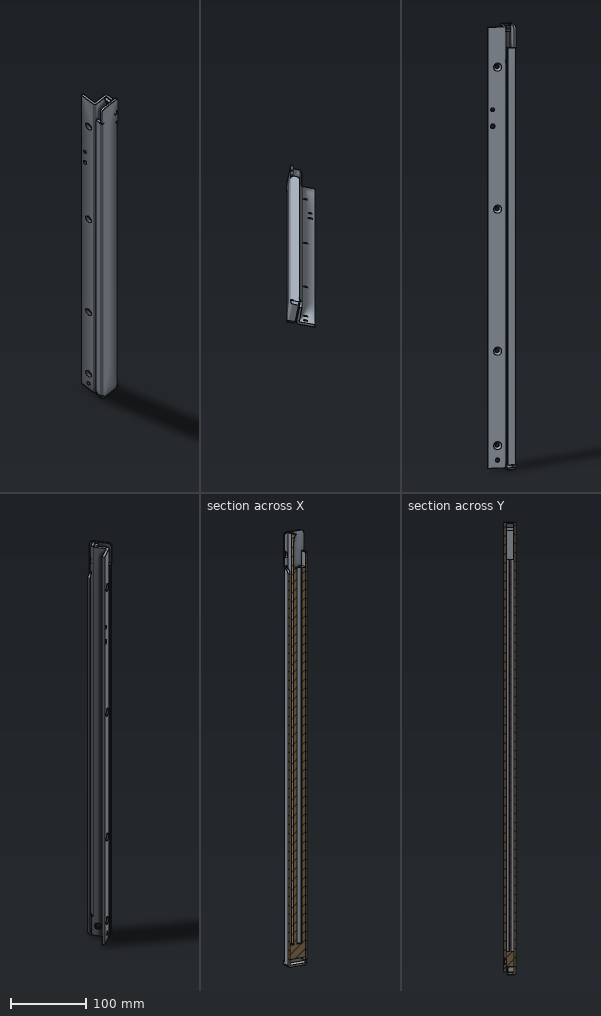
import cadquery as cq

LENGTH = 600.0
SHEET = 3.5
TOTAL_WIDTH = 38.5
TOTAL_DEPTH = 30.5

CABINET_BOTTOM = 3.5
WEB_X = 21.5
LEG_TOP_Y = 25.0
LEG_END_X = 35.0
LEG_BEVEL = 3.5
LEG_START_Z = 32.5
WEB_EDGE_Y = 23.5

STOP_BOTTOM = 589.0
STOP_STEP = 1.0
STOP_SLOPE_BOTTOM = 593.0
STOP_TOP = 598.0
STOP_DEPTH = 4.0

SCREW_X = 13.0
SCREW_HEIGHTS = (546.0, 354.0, 162.0, 34.0)
SCREW_DIAMETER = 5.0
SCREW_HEAD_DIAMETER = 11.0
PIN_HOLES = ((6.5, 488.5, 5.0), (6.5, 466.0, 6.0), (13.0, 14.5, 5.5))
RIVET_Y = 15.0
RIVET_Z = 18.0
RIVET_DIAMETER = 6.0
RIVET_HEAD_DIAMETER = 9.0
RIVET_HEAD_DEPTH = 2.0

PLATE = 3.0
LIP_EDGE_X = 27.0
BEND_BOTTOM = 7.0
FRONT_LIP_TOP = 571.0
BACK_LIP_TOP = 551.0
BACK_LIP_CORNER = 6.0
PLATE_CORNER = 5.0
TAB_CHAMFER = 3.5
SLIT_HEIGHT = 3.0
NOTCH_Y = 29.0
NOTCH_BOTTOM = 572.5
NOTCH_HEIGHT = 2.5
GROOVE_Z = 569.5
GROOVE_RADIUS = 4.0
GROOVE_DEPTH = 2.5

BAR_BOTTOM = 11.0
BAR_WEB = 2.5
BAR_FLANGE = 5.5
BAR_HEAD_TOP = 31.0

WEB_INNER_X = WEB_X + SHEET
LEG_UNDER_Y = LEG_TOP_Y - SHEET
PLATE_X = TOTAL_WIDTH - PLATE
BEND_X = TOTAL_WIDTH - SHEET
BACK_LIP_Y = TOTAL_DEPTH - SHEET
BAR_TOP = BACK_LIP_TOP


def block(x0, x1, y0, y1, z0, z1):
    """A box between two opposite corners."""
    return cq.Workplane("XY").box(x1 - x0, y1 - y0, z1 - z0, centered=False).translate((x0, y0, z0))


def hole_along_y(x, z, diameter):
    """A cutter through the flange, starting at its outer face."""
    return cq.Workplane("XZ", origin=(x, 0, z)).circle(diameter / 2).extrude(-SHEET)


def countersink(x, z):
    """A cone that narrows from the screw head to the screw hole across the flange."""
    head_radius = SCREW_HEAD_DIAMETER / 2
    hole_radius = SCREW_DIAMETER / 2
    cone = cq.Solid.makeCone(head_radius, hole_radius, SHEET, cq.Vector(x, 0, z), cq.Vector(0, 1, 0))
    return cq.Workplane(cone)


def hole_along_x(diameter, depth):
    """A cutter for the rivet hole, starting at the outer face of the web."""
    return cq.Workplane("YZ", origin=(WEB_X, RIVET_Y, RIVET_Z)).circle(diameter / 2).extrude(depth)


def extrude_sheet(web_end, bottom_z, top_z):
    """Flange, bend and web of the folded sheet; `web_end` lists the corners that finish the web."""
    return (
        cq.Workplane("XY", origin=(0, 0, bottom_z))
        .lineTo(WEB_X, 0)
        .radiusArc((WEB_INNER_X, SHEET), -SHEET)
        .polyline(web_end, includeCurrent=True)
        .lineTo(WEB_X, SHEET)
        .lineTo(0, SHEET)
        .close()
        .extrude(top_z - bottom_z)
    )


def make_sheet():
    """The folded sheet: a plain web near the lower end, a bevel and a leg above it."""
    plain_end = [(WEB_INNER_X, WEB_EDGE_Y), (WEB_X, WEB_EDGE_Y)]
    leg_end = [
        (WEB_INNER_X, LEG_UNDER_Y),
        (LEG_END_X, LEG_UNDER_Y),
        (LEG_END_X, LEG_TOP_Y),
        (WEB_X + LEG_BEVEL, LEG_TOP_Y),
        (WEB_X, LEG_TOP_Y - LEG_BEVEL),
    ]
    lower = extrude_sheet(plain_end, CABINET_BOTTOM, LEG_START_Z)
    upper = extrude_sheet(leg_end, LEG_START_Z, LENGTH)
    return lower.union(upper)


def make_leg_stop():
    """A stepped stop under the leg, sloping out towards the upper end of the rail."""
    step_y = LEG_UNDER_Y - STOP_STEP
    nose_y = LEG_UNDER_Y - STOP_DEPTH
    return (
        cq.Workplane("YZ", origin=(WEB_INNER_X, 0, 0))
        .moveTo(LEG_UNDER_Y, STOP_BOTTOM)
        .lineTo(step_y, STOP_BOTTOM)
        .lineTo(step_y, STOP_SLOPE_BOTTOM)
        .lineTo(nose_y, STOP_TOP)
        .lineTo(LEG_UNDER_Y, STOP_TOP)
        .close()
        .extrude(LEG_END_X - WEB_INNER_X)
    )


def make_cabinet_rail():
    """The folded sheet with its stop and holes."""
    rail = make_sheet().union(make_leg_stop())
    for z in SCREW_HEIGHTS:
        rail = rail.cut(countersink(SCREW_X, z))
    for x, z, diameter in PIN_HOLES:
        rail = rail.cut(hole_along_y(x, z, diameter))
    rail = rail.cut(hole_along_x(RIVET_DIAMETER, SHEET))
    return rail.cut(hole_along_x(RIVET_HEAD_DIAMETER, RIVET_HEAD_DEPTH))


def make_plate_and_tab():
    """The upright plate folded over into a tab at its lower end, with its corners trimmed."""
    folded_strip = (
        cq.Workplane("XZ")
        .moveTo(LIP_EDGE_X, 0)
        .lineTo(BEND_X, 0)
        .radiusArc((TOTAL_WIDTH, SHEET), -SHEET)
        .lineTo(TOTAL_WIDTH, LENGTH)
        .lineTo(PLATE_X, LENGTH)
        .lineTo(PLATE_X, SHEET)
        .lineTo(LIP_EDGE_X, SHEET)
        .close()
        .extrude(-TOTAL_DEPTH)
    )
    outline = block(LIP_EDGE_X, TOTAL_WIDTH, 0, TOTAL_DEPTH, 0, LENGTH)
    outline = outline.edges("|X and <Z").chamfer(TAB_CHAMFER)
    outline = outline.edges("|X and >Z").fillet(PLATE_CORNER)
    return folded_strip.intersect(outline)


def make_lip(edge_y, inward, top_z):
    """A lip bent off the plate; `inward` is the Y direction from its outer face into the rail."""
    return (
        cq.Workplane("XY", origin=(0, edge_y, BEND_BOTTOM))
        .moveTo(LIP_EDGE_X, 0)
        .lineTo(BEND_X, 0)
        .radiusArc((TOTAL_WIDTH, inward * SHEET), -inward * SHEET)
        .lineTo(LIP_EDGE_X, inward * SHEET)
        .close()
        .extrude(top_z - BEND_BOTTOM)
    )


def make_drawer_rail():
    """Folded plate with a bent lip along each side; the back lip reaches down to the tab."""
    rail = make_plate_and_tab()
    front_strip = block(PLATE_X, TOTAL_WIDTH, 0, SHEET, BEND_BOTTOM, FRONT_LIP_TOP)
    back_strip = block(PLATE_X, TOTAL_WIDTH, BACK_LIP_Y, TOTAL_DEPTH, BEND_BOTTOM, BACK_LIP_TOP)
    rail = rail.cut(front_strip).cut(back_strip)

    front_lip = make_lip(0, 1, FRONT_LIP_TOP)
    back_lip = make_lip(TOTAL_DEPTH, -1, BACK_LIP_TOP)
    back_lip = back_lip.edges("|Y and >Z and <X").fillet(BACK_LIP_CORNER)
    back_lip_foot = block(LIP_EDGE_X, PLATE_X, BACK_LIP_Y, TOTAL_DEPTH, SHEET, BEND_BOTTOM)
    rail = rail.union(front_lip).union(back_lip).union(back_lip_foot)

    slit = block(PLATE_X, TOTAL_WIDTH, BACK_LIP_Y, TOTAL_DEPTH, BACK_LIP_TOP, BACK_LIP_TOP + SLIT_HEIGHT)
    notch = block(PLATE_X, TOTAL_WIDTH, NOTCH_Y, TOTAL_DEPTH, NOTCH_BOTTOM, NOTCH_BOTTOM + NOTCH_HEIGHT)
    groove = (
        cq.Workplane("XZ", origin=(PLATE_X + GROOVE_DEPTH - GROOVE_RADIUS, LEG_TOP_Y, GROOVE_Z))
        .circle(GROOVE_RADIUS)
        .extrude(LEG_TOP_Y - NOTCH_Y)
    )
    return rail.cut(slit).cut(notch).cut(groove)


def make_slide_bar():
    """An I-section bar with a solid head at its lower end."""
    bar = block(WEB_INNER_X, PLATE_X, SHEET, LEG_UNDER_Y, BAR_BOTTOM, BAR_TOP)
    middle_x = (WEB_INNER_X + PLATE_X) / 2
    low_y = SHEET + BAR_FLANGE
    high_y = LEG_UNDER_Y - BAR_FLANGE
    bar = bar.cut(block(WEB_INNER_X, middle_x - BAR_WEB / 2, low_y, high_y, BAR_HEAD_TOP, BAR_TOP))
    bar = bar.cut(block(middle_x + BAR_WEB / 2, PLATE_X, low_y, high_y, BAR_HEAD_TOP, BAR_TOP))
    head = block(WEB_INNER_X, PLATE_X, LEG_UNDER_Y, BACK_LIP_Y, BAR_BOTTOM, BAR_HEAD_TOP)
    return bar.union(head)


cabinet_rail = make_cabinet_rail()
drawer_rail = make_drawer_rail()
slide_bar = make_slide_bar()

result = cq.Compound.makeCompound([cabinet_rail.val(), drawer_rail.val(), slide_bar.val()])